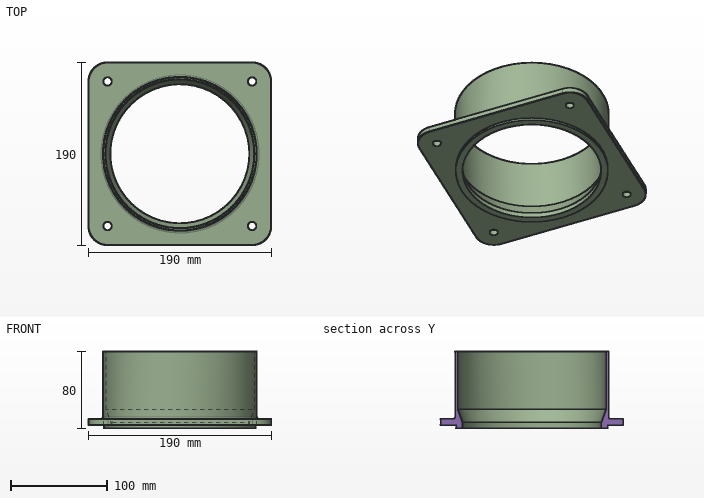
import cadquery as cq
import math

plate_side = 190.0
plate_bottom = 3.0
plate_thickness = 7.0
plate_top = plate_bottom + plate_thickness
corner_radius = 20.0
plate_edge_chamfer = 0.5

hole_diameter = 8.5
hole_spacing = plate_side - 2 * corner_radius

total_height = 80.0
socket_radius = 80.0
socket_wall = 3.0
socket_bore_radius = socket_radius - socket_wall
lip_chamfer = 0.5
root_fillet = 2.0
rim_radius = 79.0

throat_radius = 72.0
cone_top = 20.0
cone_half_angle = 20.0
cone_height = (socket_bore_radius - throat_radius) / math.tan(math.radians(cone_half_angle))
throat_height = cone_top - cone_height


def make_plate():
    """Square plate with rounded corners, bevelled along its upper and lower edges."""
    blank = (
        cq.Workplane("XY")
        .workplane(offset=plate_bottom)
        .rect(plate_side, plate_side)
        .extrude(plate_thickness)
    )
    rounded = blank.edges("|Z").fillet(corner_radius)
    return rounded.faces("|Z").edges().chamfer(plate_edge_chamfer)


def make_rim():
    """Locating rim that projects below the plate."""
    return cq.Workplane("XY").circle(rim_radius).extrude(plate_top)


def make_socket():
    """Upright socket with a bevelled lip and a filleted root, revolved as a solid."""
    profile = (
        cq.Workplane("XZ")
        .moveTo(0, plate_bottom)
        .lineTo(socket_radius + root_fillet, plate_bottom)
        .lineTo(socket_radius + root_fillet, plate_top)
        .radiusArc((socket_radius, plate_top + root_fillet), root_fillet)
        .lineTo(socket_radius, total_height - lip_chamfer)
        .lineTo(socket_radius - lip_chamfer, total_height)
        .lineTo(0, total_height)
        .close()
    )
    return profile.revolve(360, (0, 0, 0), (0, 1, 0))


def make_bore():
    """Passage through the part: throat, cone, socket bore and bevelled mouth."""
    profile = (
        cq.Workplane("XZ")
        .lineTo(throat_radius, 0)
        .lineTo(throat_radius, throat_height)
        .lineTo(socket_bore_radius, cone_top)
        .lineTo(socket_bore_radius, total_height - lip_chamfer)
        .lineTo(socket_bore_radius + lip_chamfer, total_height)
        .lineTo(0, total_height)
        .close()
    )
    return profile.revolve(360, (0, 0, 0), (0, 1, 0))


def make_screw_holes():
    """Four through holes, one at each plate corner."""
    return (
        cq.Workplane("XY")
        .rect(hole_spacing, hole_spacing, forConstruction=True)
        .vertices()
        .circle(hole_diameter / 2)
        .extrude(plate_top)
    )


body = make_plate().union(make_rim()).union(make_socket())
result = body.cut(make_bore()).cut(make_screw_holes())